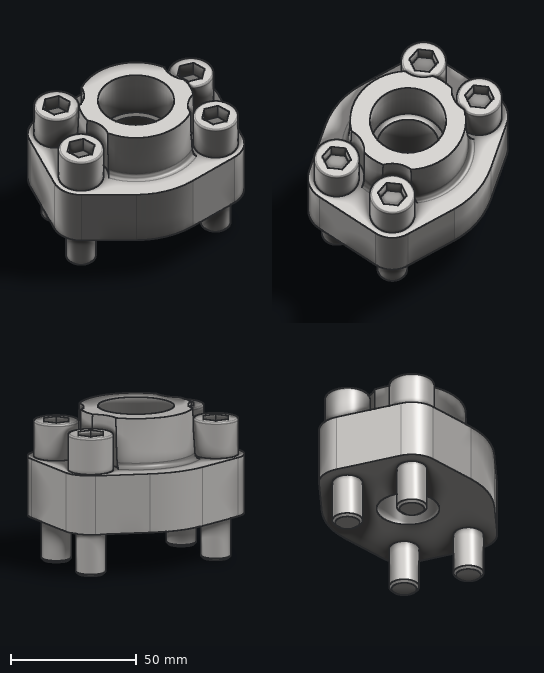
import cadquery as cq
import math

flange_height = 24
flange_length = 80
flange_side_radius = 34.4

bolt_spacing_x = 27.8
bolt_spacing_y = 57.2
bolt_x = bolt_spacing_x / 2
bolt_y = bolt_spacing_y / 2
corner_radius = flange_length / 2 - bolt_y

hub_height = 20
hub_top_diameter = 46.0
hub_flare_radius = 160
hub_fillet_radius = 2.4
head_clearance_diameter = 22.1

bore_diameter = 25.0
socket_diameter = 30.3
socket_depth = 19.6

shank_diameter = 12
shank_projection = 18.5
shank_chamfer = 1.0
head_diameter = 18.0
head_height = 14.7
head_edge_radius = 0.6
hex_sides = 6
hex_across_flats = 10.0
hex_depth = 6.0


def mirrored_corners(x, y):
    """The point and its mirror images in the other three quadrants, counterclockwise."""
    return [(x, y), (-x, y), (-x, -y), (x, -y)]


bolt_points = mirrored_corners(bolt_x, bolt_y)


def make_flange():
    """Plate bounded by a central circle, four bolt-centred corners and their common tangents."""
    bolt_direction = math.atan2(bolt_y, bolt_x)
    bolt_distance = math.hypot(bolt_x, bolt_y)
    tangent_angle = bolt_direction - math.acos((flange_side_radius - corner_radius) / bolt_distance)
    corner_middle_angle = (tangent_angle + math.pi / 2) / 2

    def corner_point(angle):
        return (
            bolt_x + corner_radius * math.cos(angle),
            bolt_y + corner_radius * math.sin(angle),
        )

    side = mirrored_corners(
        flange_side_radius * math.cos(tangent_angle),
        flange_side_radius * math.sin(tangent_angle),
    )
    slant_end = mirrored_corners(*corner_point(tangent_angle))
    corner_middle = mirrored_corners(*corner_point(corner_middle_angle))
    flat_end = mirrored_corners(bolt_x, flange_length / 2)
    return (
        cq.Workplane("XY")
        .moveTo(*side[3])
        .threePointArc((flange_side_radius, 0), side[0])
        .lineTo(*slant_end[0])
        .threePointArc(corner_middle[0], flat_end[0])
        .lineTo(*flat_end[1])
        .threePointArc(corner_middle[1], slant_end[1])
        .lineTo(*side[1])
        .threePointArc((-flange_side_radius, 0), side[2])
        .lineTo(*slant_end[2])
        .threePointArc(corner_middle[2], flat_end[2])
        .lineTo(*flat_end[3])
        .threePointArc(corner_middle[3], slant_end[3])
        .close()
        .extrude(flange_height)
    )


def make_hub():
    """Hub flaring gently outwards down to a root fillet, with clearance for the bolt heads."""
    top_radius = hub_top_diameter / 2
    flare_center_radius = top_radius + hub_flare_radius
    center_distance = hub_flare_radius - hub_fillet_radius
    flare_angle = math.asin((hub_height - hub_fillet_radius) / center_distance)
    fillet_center_radius = flare_center_radius - center_distance * math.cos(flare_angle)

    def flare_point(angle):
        return (
            flare_center_radius - hub_flare_radius * math.cos(angle),
            hub_height - hub_flare_radius * math.sin(angle),
        )

    fillet_middle_angle = (flare_angle + math.pi / 2) / 2
    fillet_middle = (
        fillet_center_radius - hub_fillet_radius * math.cos(fillet_middle_angle),
        hub_fillet_radius * (1 - math.sin(fillet_middle_angle)),
    )
    hub = (
        cq.Workplane("XZ")
        .lineTo(fillet_center_radius, 0)
        .threePointArc(fillet_middle, flare_point(flare_angle))
        .threePointArc(flare_point(flare_angle / 2), (top_radius, hub_height))
        .lineTo(0, hub_height)
        .close()
        .revolve(360, (0, 0, 0), (0, 1, 0))
    )
    head_clearance = (
        cq.Workplane("XY")
        .pushPoints(bolt_points)
        .circle(head_clearance_diameter / 2)
        .extrude(hub_height)
    )
    return hub.cut(head_clearance).translate((0, 0, flange_height))


def make_bore():
    """Through bore with a wider socket entering from the hub top."""
    top_z = flange_height + hub_height
    bore = cq.Workplane("XY").circle(bore_diameter / 2).extrude(top_z)
    socket = (
        cq.Workplane("XY")
        .workplane(offset=top_z)
        .circle(socket_diameter / 2)
        .extrude(-socket_depth)
    )
    return bore.union(socket)


def make_bolt():
    """Bolt on the Z axis with its head seated on top of the flange."""
    shank = (
        cq.Workplane("XY")
        .circle(shank_diameter / 2)
        .extrude(shank_projection + flange_height)
        .faces("<Z")
        .chamfer(shank_chamfer)
        .translate((0, 0, -shank_projection))
    )
    hex_across_corners = hex_across_flats / math.cos(math.pi / hex_sides)
    head = (
        cq.Workplane("XY")
        .circle(head_diameter / 2)
        .extrude(head_height)
        .faces(">Z")
        .edges()
        .fillet(head_edge_radius)
    )
    hex_socket = (
        cq.Workplane("XY")
        .polygon(hex_sides, hex_across_corners)
        .extrude(hex_depth)
        .rotate((0, 0, 0), (0, 0, 1), 180 / hex_sides)
        .translate((0, 0, head_height - hex_depth))
    )
    return shank.union(head.cut(hex_socket).translate((0, 0, flange_height)))


result = make_flange().union(make_hub()).cut(make_bore())
bolt = make_bolt()
for x, y in bolt_points:
    result = result.union(bolt.translate((x, y, 0)))